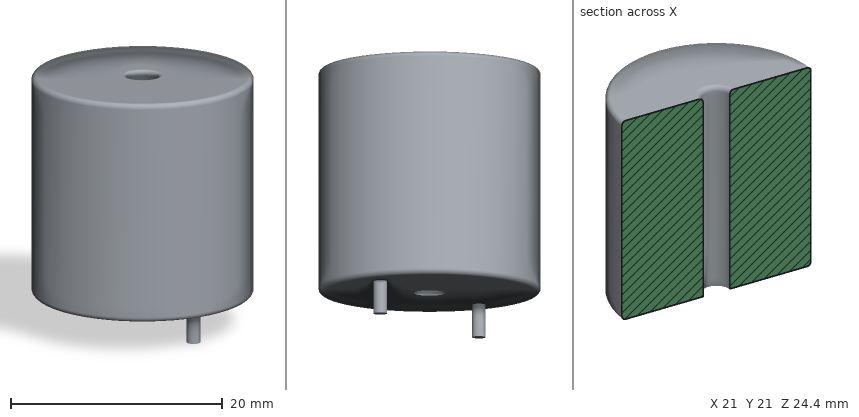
import cadquery as cq

total_height = 24.45
body_diameter = 21.0
pin_length = 3.1
pin_diameter = 1.3
pin_spacing = 15.71
hole_diameter = 2.9
edge_radius = 0.5

body_height = total_height - pin_length
pin_overlap = edge_radius


def make_body():
    """Cylinder with rounded outer edges, standing on the XY plane."""
    body = cq.Workplane("XY").circle(body_diameter / 2).extrude(body_height)
    return body.edges("%CIRCLE").fillet(edge_radius)


def cut_center_hole(body):
    """Through hole with a rounded mouth at the top face."""
    drilled = body.faces(">Z").workplane().hole(hole_diameter)
    mouth = drilled.faces(">Z").edges(cq.selectors.RadiusNthSelector(0))
    return mouth.fillet(edge_radius)


def make_pins():
    """Two round pins along X, hanging below the body."""
    return (
        cq.Workplane("XY")
        .workplane(offset=-pin_length)
        .rarray(pin_spacing, 0.25, 2, 1)
        .circle(pin_diameter / 2)
        .extrude(pin_length + pin_overlap)
    )


result = cut_center_hole(make_body()).union(make_pins())